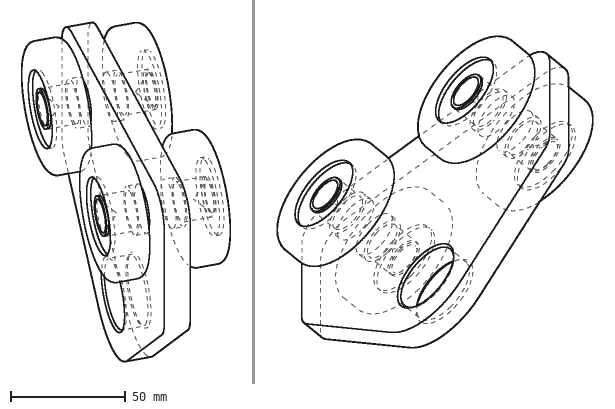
import cadquery as cq
import math


plate_width = 150.0
plate_thickness = 12.0
plate_height = 130.0
corner_radius = 15.0
shoulder_radius = 10.0
eye_radius = 30.0
eye_height = eye_radius
eye_hole_diameter = 32.0
eye_hole_chamfer = 1.0
shoulder_height = 60.0

wheel_diameter = 60.0
wheel_width = 15.0
wheel_fillet = 3.0
wheel_spacing = 85.0
overall_width = 52.0
recess_diameter = 35.0
recess_depth = 2.0

axle_height = eye_height + 75.0
collar_diameter = 22.0
journal_diameter = 18.0
journal_projection = 1.0
cone_diameter = 15.0
cone_depth = 7.5

wheel_outer_face = overall_width / 2
collar_end = wheel_outer_face - wheel_width
journal_end = wheel_outer_face - recess_depth + journal_projection
selection_margin = 1.5
axle_positions = [-wheel_spacing / 2, wheel_spacing / 2]


def cylinder_along_y(diameter, y_start, y_end):
    """Cylinder about the Y axis between two Y positions."""
    return cq.Workplane("XZ", origin=(0, y_start, 0)).circle(diameter / 2).extrude(y_start - y_end)


def make_plate():
    """Plate with two sloping edges tangent to the round eye."""
    half_width = plate_width / 2
    shoulder_rise = shoulder_height - eye_height
    shoulder_distance = math.hypot(half_width, shoulder_rise)
    tangent_angle = math.atan2(shoulder_rise, half_width) - math.acos(eye_radius / shoulder_distance)
    tangent_x = eye_radius * math.cos(tangent_angle)
    tangent_z = eye_height + eye_radius * math.sin(tangent_angle)

    plate = (
        cq.Workplane("XZ")
        .moveTo(tangent_x, tangent_z)
        .lineTo(half_width, shoulder_height)
        .lineTo(half_width, plate_height)
        .lineTo(-half_width, plate_height)
        .lineTo(-half_width, shoulder_height)
        .lineTo(-tangent_x, tangent_z)
        .threePointArc((0, eye_height - eye_radius), (tangent_x, tangent_z))
        .close()
        .extrude(plate_thickness / 2, both=True)
    )
    plate = plate.edges("|Y and >Z").fillet(corner_radius)
    shoulder_edges = cq.selectors.BoxSelector(
        (-plate_width, -plate_thickness, shoulder_height - selection_margin),
        (plate_width, plate_thickness, shoulder_height + selection_margin),
    )
    plate = plate.edges("|Y").edges(shoulder_edges).fillet(shoulder_radius)

    half_thickness = plate_thickness / 2
    eye_hole = cylinder_along_y(eye_hole_diameter, -half_thickness, half_thickness)
    plate = plate.cut(eye_hole.translate((0, 0, eye_height)))
    hole_edges = cq.selectors.BoxSelector(
        (-eye_radius, -plate_thickness, eye_height - selection_margin),
        (eye_radius, plate_thickness, eye_height + selection_margin),
    )
    return plate.edges("%CIRCLE").edges(hole_edges).chamfer(eye_hole_chamfer)


def make_axle():
    """Axle with a collar, two journals and a conical recess in each end."""
    axle = cylinder_along_y(collar_diameter, -collar_end, collar_end)
    axle = axle.union(cylinder_along_y(journal_diameter, -journal_end, journal_end))
    for side in (-1, 1):
        cone = cq.Solid.makeCone(
            cone_diameter / 2,
            0,
            cone_depth,
            pnt=cq.Vector(0, side * journal_end, 0),
            dir=cq.Vector(0, -side, 0),
        )
        axle = axle.cut(cq.Workplane(cone))
    return axle


def make_hanger():
    """Plate and both fixed axles as one body."""
    hanger = make_plate()
    for x in axle_positions:
        hanger = hanger.union(make_axle().translate((x, 0, axle_height)))
    return hanger


def make_wheel(x, side):
    """Wheel on the -Y (side = -1) or +Y (side = 1) end of the axle at x."""
    recess_floor = wheel_outer_face - recess_depth
    wheel = cylinder_along_y(wheel_diameter, side * collar_end, side * wheel_outer_face)
    wheel = wheel.edges("%CIRCLE").fillet(wheel_fillet)
    wheel = wheel.cut(cylinder_along_y(recess_diameter, side * recess_floor, side * wheel_outer_face))
    wheel = wheel.cut(cylinder_along_y(journal_diameter, side * collar_end, side * wheel_outer_face))
    return wheel.translate((x, 0, axle_height))


hanger = make_hanger()
wheels = [make_wheel(x, side) for x in axle_positions for side in (-1, 1)]

result = cq.Compound.makeCompound([hanger.val(), *[wheel.val() for wheel in wheels]])